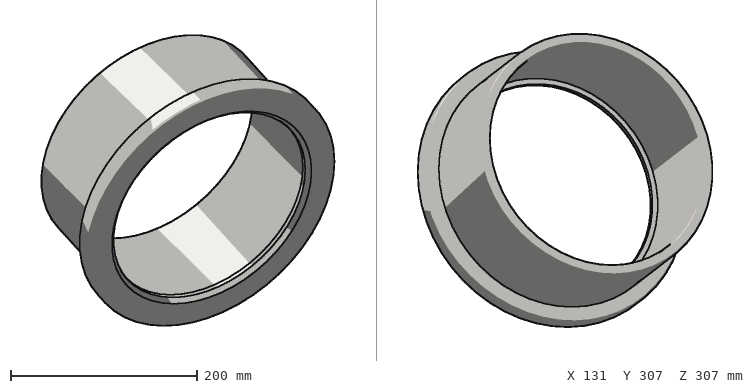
import cadquery as cq

length = 131.0
flange_diameter = 307.0
flange_thickness = 20.0
barrel_diameter = 273.0
bore_diameter = 250.0
lip_diameter = 237.5
lip_thickness = 10.0

flange_edge_radius = 2.8
barrel_edge_radius = 2.0
lip_chamfer = 5.0


def disc(start, thickness, diameter):
    """Solid cylinder along +X that begins at the given X position."""
    return cq.Workplane("YZ", origin=(start, 0, 0)).circle(diameter / 2).extrude(thickness)


flange = disc(length - flange_thickness, flange_thickness, flange_diameter)
flange = flange.edges().fillet(flange_edge_radius)

body = disc(0, length, barrel_diameter).union(flange)
body = body.cut(disc(0, length - lip_thickness, bore_diameter))
body = body.cut(disc(0, length, lip_diameter))

body = body.faces("<X").edges().fillet(barrel_edge_radius)
lip_edge = cq.selectors.RadiusNthSelector(0)
result = body.faces(">X").edges(lip_edge).chamfer(lip_chamfer)